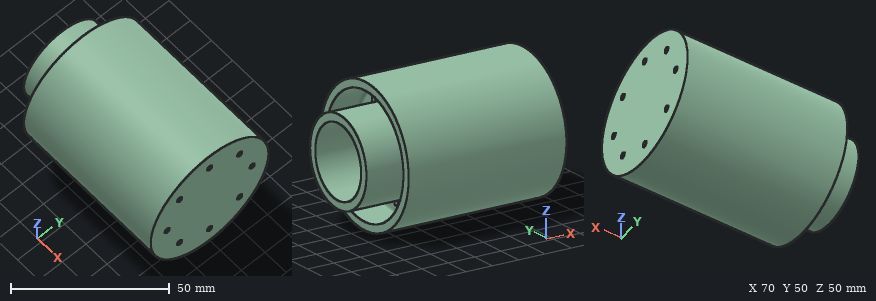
import cadquery as cq

length = 70.0
outer_diameter = 50.0
end_wall = 3.0
tube_diameter = 32.0
tube_projection = 10.0

channel_diameter = 44.0
channel_depth = 12.0
channel_fillet = 1.2

bore_diameter = 26.0
bore_fillet = 3.0
bore_depth = length - end_wall

hole_count = 8
hole_diameter = 2.0
hole_circle_diameter = 36.0


def cylinder(diameter, start, depth):
    """Cylinder along +X, beginning at the given X position."""
    return cq.Workplane("YZ", origin=(start, 0, 0)).circle(diameter / 2).extrude(depth)


def channel_cutter():
    """Ring-shaped channel, rounded where its walls meet the floor."""
    outside = cylinder(channel_diameter, tube_projection, channel_depth)
    outside = outside.faces(">X").edges().fillet(channel_fillet)
    ring = outside.cut(cylinder(tube_diameter, tube_projection, channel_depth))
    inner_floor_edge = cq.selectors.RadiusNthSelector(0)
    return ring.faces(">X").edges(inner_floor_edge).fillet(channel_fillet)


def bore_cutter():
    """Blind bore with a rounded bottom corner."""
    return cylinder(bore_diameter, 0, bore_depth).faces(">X").edges().fillet(bore_fillet)


def hole_cutters():
    """Equally spaced holes, long enough to pass through the whole part."""
    return (
        cq.Workplane("YZ")
        .polarArray(hole_circle_diameter / 2, 0, 360, hole_count)
        .circle(hole_diameter / 2)
        .extrude(length)
    )


body = cylinder(outer_diameter, tube_projection, length - tube_projection)
tube = cylinder(tube_diameter, 0, length)
result = body.cut(channel_cutter()).union(tube).cut(bore_cutter()).cut(hole_cutters())